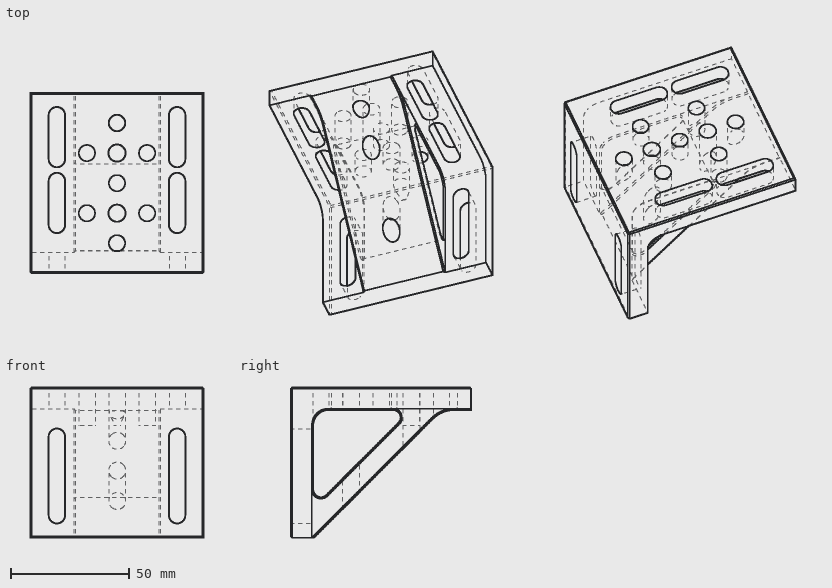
import cadquery as cq
import math

width = 73.15
depth = 76.2
height = 63.5

frame = 9.5
frame_width = 36.6
frame_chamfer = 0.6
frame_corner_radius = 6.3
frame_under = height - frame
strut = 9.1
strut_foot = 0.2
blend_radius = 12.7
window_tip_radius = 3.2

edge_chamfer = 0.6
plate = frame - frame_chamfer
plate_corner_radius = frame_corner_radius + frame_chamfer
shelf_under = height - plate

pitch = depth / 6
tapped_diameter = 6.85
tapped_depth = frame + frame_corner_radius
clearance_diameter = 7.2
slot_width = 6.85
slot_xs = (-2 * pitch, 2 * pitch)
shelf_slot_length = 25.4
shelf_slot_ys = (29.7, 57.5)
wall_slot_length = 40.0
wall_slot_bottom = 6.1

tapped_holes = [(0, 1), (-1, 2), (1, 2), (0, 3), (-1, 4), (1, 4)]
clearance_holes = [(0, 2), (0, 4)]
edge_hole = [(0, 5)]


def extrude_profile(points, thickness):
    """Extrude a closed (Y, Z) outline symmetrically about X = 0."""
    return cq.Workplane("YZ").polyline(points).close().extrude(thickness / 2, both=True)


def nearest_edge(y, z):
    return cq.selectors.NearestToPointSelector((0, y, z))


def make_angle():
    """L-shaped bracket, chamfered around its front and top faces."""
    outline = [
        (0, 0),
        (plate, 0),
        (plate, shelf_under),
        (depth, shelf_under),
        (depth, height),
        (0, height),
    ]
    angle = extrude_profile(outline, width)
    angle = angle.edges(nearest_edge(plate, shelf_under)).fillet(plate_corner_radius)
    return angle.faces("<Y or >Z").edges().chamfer(edge_chamfer)


def make_window():
    """Triangular prism between wall, shelf and strut, with rounded corners."""
    leg = frame_under + strut_foot - strut * math.sqrt(2)
    outline = [
        (frame, frame_under),
        (frame + leg, frame_under),
        (frame, frame_under - leg),
    ]
    window = extrude_profile(outline, width)
    window = window.edges(nearest_edge(frame, frame_under)).fillet(frame_corner_radius)
    window = window.edges("|X and >Y").fillet(window_tip_radius)
    return window.edges("|X and <Z").fillet(window_tip_radius)


def make_brace():
    """Strut and frame reaching halfway into both plates, chamfered around the side faces."""
    strut_end = frame + strut_foot + frame_under
    inside = plate / 2
    tangent_length = blend_radius * math.tan(math.pi / 8)
    blend_offset = tangent_length * math.sqrt(0.5)
    brace = (
        cq.Workplane("YZ")
        .moveTo(inside, 0)
        .lineTo(frame + strut_foot, 0)
        .lineTo(strut_end - blend_offset, frame_under - blend_offset)
        .tangentArcPoint((strut_end + tangent_length, frame_under), relative=False)
        .lineTo(depth, frame_under)
        .lineTo(depth, height - inside)
        .lineTo(inside, height - inside)
        .close()
        .extrude(frame_width / 2, both=True)
    )
    brace = brace.cut(make_window())
    return brace.faces("<X or >X").edges("not (>Y or <Z)").chamfer(frame_chamfer)


def drill(grid_places, diameter, hole_depth):
    """Cylinders reaching down from the top face at the given grid places."""
    centres = [(column * pitch, row * pitch) for column, row in grid_places]
    top_plane = cq.Workplane("XY", origin=(0, 0, height))
    return top_plane.pushPoints(centres).circle(diameter / 2).extrude(-hole_depth)


def make_shelf_slots():
    centres = [(x, y) for x in slot_xs for y in shelf_slot_ys]
    top_plane = cq.Workplane("XY", origin=(0, 0, height))
    return top_plane.pushPoints(centres).slot2D(shelf_slot_length, slot_width, 90).extrude(-frame)


def make_wall_slots():
    centre_z = wall_slot_bottom + wall_slot_length / 2
    centres = [(x, centre_z) for x in slot_xs]
    front_plane = cq.Workplane("XZ")
    return front_plane.pushPoints(centres).slot2D(wall_slot_length, slot_width, 90).extrude(-frame)


body = make_angle().union(make_brace())
body = body.cut(make_shelf_slots()).cut(make_wall_slots())
body = body.cut(drill(tapped_holes, tapped_diameter, tapped_depth))
body = body.cut(drill(edge_hole, tapped_diameter, height))
result = body.cut(drill(clearance_holes, clearance_diameter, height))